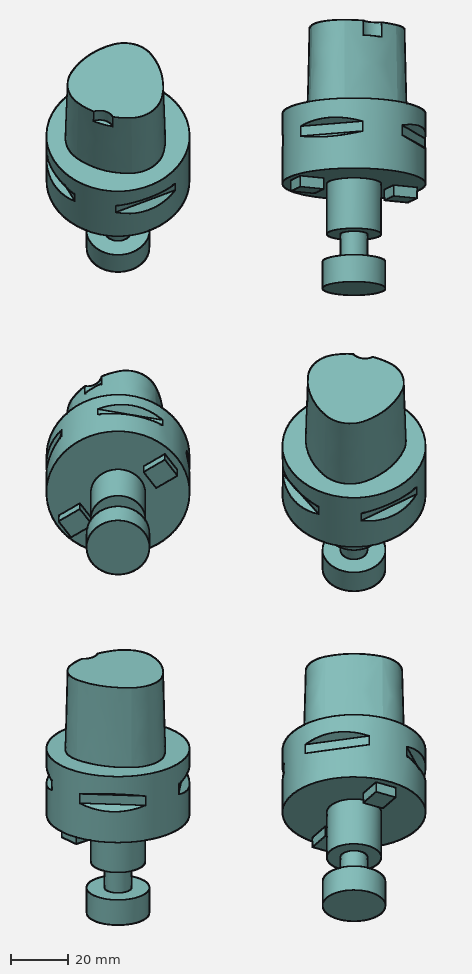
import cadquery as cq
import math

total_height = 92.5
head_height = 9.6
neck_height = 9.8
pilot_height = 18.0
flange_height = 25.1

head_diameter = 22.0
neck_diameter = 9.5
pilot_diameter = 19.1
flange_diameter = 50.0

lobe_reach = 18.5
flank_reach = 16.4
lobe_center_offset = 6.5
shank_taper = 0.7

notch_radius = 5.0
notch_floor_distance = 14.0
notch_height = 5.3

groove_floor_distance = 22.2
groove_floor_height = 3.5
groove_drop = 10.0
groove_wall_angle = 30.0
groove_count = 4

key_inner_x = 13.4
key_outer_x = 22.4
key_width = 7.9
key_height = 3.9

flange_bottom = head_height + neck_height + pilot_height
flange_top = flange_bottom + flange_height


def polar(radius, angle):
    """Point at a radius and an angle in degrees."""
    return (radius * math.cos(math.radians(angle)), radius * math.sin(math.radians(angle)))


def make_round_sections():
    """Head, neck, pilot and flange stacked along Z."""
    sections = [
        (head_diameter, head_height),
        (neck_diameter, neck_height),
        (pilot_diameter, pilot_height),
        (flange_diameter, flange_height),
    ]
    body = cq.Workplane("XY")
    bottom = 0.0
    for diameter, height in sections:
        body = body.union(cq.Workplane("XY").workplane(offset=bottom).circle(diameter / 2).extrude(height))
        bottom += height
    return body


def lobed_wire(height, inset):
    """Closed outline of three lobe arcs tangent to three flank arcs."""
    excess = flank_reach - lobe_reach + lobe_center_offset
    flank_center_offset = (lobe_center_offset**2 - excess**2) / (2 * excess - lobe_center_offset)

    along = lobe_center_offset + flank_center_offset * math.cos(math.radians(60))
    across = flank_center_offset * math.sin(math.radians(60))
    normal_angle = math.atan2(across, along)
    lobe_radius = lobe_reach - lobe_center_offset - inset
    join_along = lobe_center_offset + lobe_radius * math.cos(normal_angle)
    join_across = lobe_radius * math.sin(normal_angle)
    join_distance = math.hypot(join_along, join_across)
    join_angle = math.degrees(math.atan2(join_across, join_along))

    outline = cq.Workplane("XY").workplane(offset=height)
    outline = outline.moveTo(*polar(join_distance, 90 - join_angle))
    for lobe_angle in (90, 210, 330):
        outline = outline.threePointArc(
            polar(lobe_reach - inset, lobe_angle),
            polar(join_distance, lobe_angle + join_angle),
        )
        outline = outline.threePointArc(
            polar(flank_reach - inset, lobe_angle + 60),
            polar(join_distance, lobe_angle + 120 - join_angle),
        )
    return outline.close().val()


def make_shank():
    """Tapered lobed shank with one lobe toward +Y."""
    base = lobed_wire(flange_top, 0)
    top = lobed_wire(total_height, shank_taper)
    return cq.Workplane("XY").add(cq.Solid.makeLoft([base, top], True))


def make_notch():
    """Vertical cylinder that scoops the top edge of the flank facing -Y."""
    return (
        cq.Workplane("XY")
        .workplane(offset=total_height - notch_height)
        .center(0, -notch_floor_distance - notch_radius)
        .circle(notch_radius)
        .extrude(notch_height)
    )


def make_groove():
    """Straight flared groove across the +X side of the flange."""
    depth = flange_diameter / 2 - groove_floor_distance
    floor_half = groove_floor_height / 2
    mouth_half = floor_half + depth * math.tan(math.radians(groove_wall_angle))
    middle = flange_top - groove_drop
    outer = flange_diameter / 2
    return (
        cq.Workplane("XZ")
        .moveTo(groove_floor_distance, middle - floor_half)
        .lineTo(outer, middle - mouth_half)
        .lineTo(outer, middle + mouth_half)
        .lineTo(groove_floor_distance, middle + floor_half)
        .close()
        .extrude(flange_diameter / 2, both=True)
    )


def make_keys():
    """Two rectangular keys, one on each side of the pilot."""
    key_center_x = (key_inner_x + key_outer_x) / 2
    return (
        cq.Workplane("XY")
        .workplane(offset=flange_bottom)
        .pushPoints([(-key_center_x, 0), (key_center_x, 0)])
        .rect(key_outer_x - key_inner_x, key_width)
        .extrude(-key_height)
    )


result = make_round_sections().union(make_shank()).union(make_keys())
result = result.cut(make_notch())

groove = make_groove()
for index in range(groove_count):
    groove_angle = (index + 0.5) * 360 / groove_count
    result = result.cut(groove.rotate((0, 0, 0), (0, 0, 1), groove_angle))